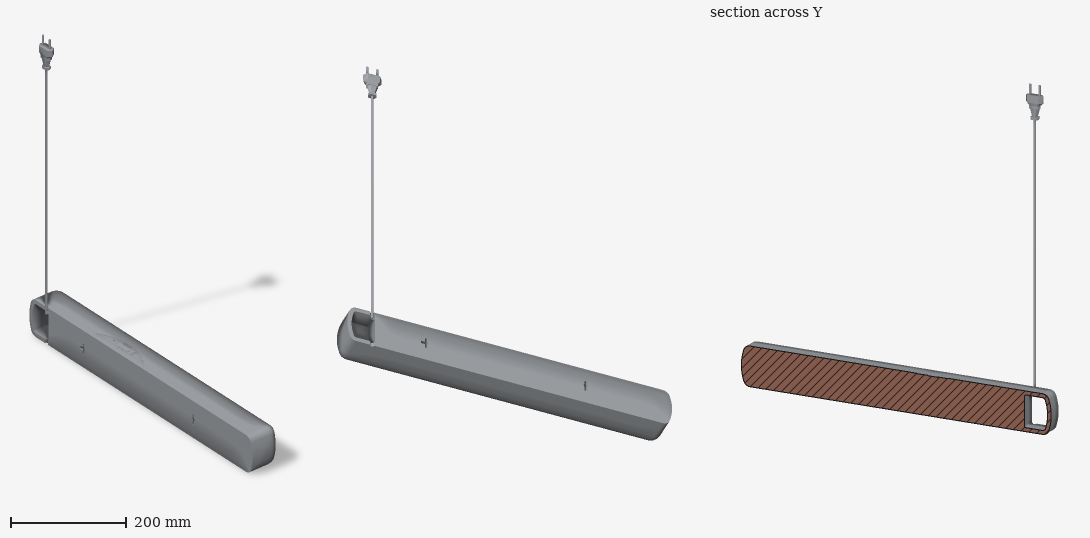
import cadquery as cq
import math

length = 609.0
height = 75.0
base_depth = 40.5
lid_depth = 21.0
depth = base_depth + lid_depth
end_radius = 87.0
corner_radius = 14.0
lid_draft_angle = 4.0
lid_end_round = 18.0
mid_z = height / 2

wall = 8.0
pocket_right_x = -252.0
pocket_depth = 30.5
pocket_right_round = 2.5

cable_x = -258.0
cable_diameter = 4.0
cable_groove_diameter = 7.5
cable_end_z = 60.5
cable_entry_diameter = 5.5
entry_y = 3.0
entry_embed = 1.0
plug_top_z = 603.5
neck_top_z = 580.5
collar_top_z = 565.0
collar_bottom_z = 560.0
pin_tip_z = 623.0
pin_diameter = 4.0
pin_spacing = 19.0
head_bottom = (591.0, 17.15, 11.0, 7.5)
head_top = (plug_top_z,) + head_bottom[1:]
grip_top = (586.0, 11.0, 8.0, 6.0)
grip_bottom = (neck_top_z,) + grip_top[1:]
neck_top = (neck_top_z, 10.0, 6.0, 5.5)
neck_bottom = (collar_top_z, 5.5, 2.5, 4.5)
collar_top = (collar_top_z, 8.0, 5.5, 5.5)
collar_bottom = (collar_bottom_z,) + collar_top[1:]

left_hole_x = -157.0
hole_spacing = 299.0
hole_diameter = 7.5
hole_recess = 2.0
slot_width = 3.6
slot_length = 21.0
slot_depth = 6.0
side_slot_reach = 9.5
side_slot_width = 5.5

panel_x = -71.0
panel_base_y = 9.5
panel_width = 137.0
panel_height = 22.5
panel_recess = 0.5
button_y = 19.5
button_length = 32.0
button_width = 9.5
window_y = 27.5
window_length = 20.0
window_width = 5.5
mark_offset = 27.5
mark_size = 7.0
square_height = 4.5
mark_depth = 0.5


def mounting_plane(x=0, y=0):
    """XZ work plane at depth y, centred on the bar; negative extrusions go into the bar."""
    return cq.Workplane("XZ", origin=(x, y, mid_z))


def top_plane(x, y):
    """Work plane on the top face; negative extrusions go into the bar."""
    return cq.Workplane("XY", origin=(x, y, height))


def cable_plane(z):
    """Level work plane at height z, centred on the cable."""
    return cq.Workplane("XY", origin=(cable_x, 0, z))


def bar_outline(y, inset=0):
    """Closed outline with arched ends and sharp corners at depth y, moved inward by inset."""
    half_length = length / 2 - inset
    half_height = height / 2 - inset
    radius = end_radius - inset
    shoulder = half_length - radius + math.sqrt(radius**2 - half_height**2)
    return (
        mounting_plane(0, y)
        .moveTo(-shoulder, half_height)
        .lineTo(shoulder, half_height)
        .threePointArc((half_length, 0), (shoulder, -half_height))
        .lineTo(-shoulder, -half_height)
        .threePointArc((-half_length, 0), (-shoulder, half_height))
        .close()
    )


def make_housing():
    """Straight base topped by a drafted lid; the corner round runs on along the lid's long edges."""
    base = bar_outline(0).extrude(-base_depth).edges("|Y").fillet(corner_radius)
    lid = bar_outline(base_depth).extrude(-lid_depth, taper=lid_draft_angle)
    lid = lid.faces(">Y").edges("%CIRCLE").fillet(lid_end_round)
    lid = lid.faces(">Y").edges("|X").fillet(corner_radius)
    return base.union(lid)


def make_pocket():
    """Recess that follows the rounded bar end and stops at a flat wall on its +X side."""
    pocket = bar_outline(0, wall).extrude(-pocket_depth).edges("|Y").fillet(corner_radius - wall)
    keep_width = length / 2 + pocket_right_x
    keep = cq.Workplane("XY").box(keep_width, depth, height, centered=(False, False, False))
    pocket = pocket.intersect(keep.translate((-length / 2, 0, 0)))
    return pocket.faces(">X").edges("|Y").fillet(pocket_right_round)


def make_cable_groove():
    """Half-round channel across the mounting face, opening the pocket rim above and below."""
    return cable_plane(0).circle(cable_groove_diameter / 2).extrude(height)


def make_mounting_hole(x, has_side_slot):
    """Shallow round recess with a deeper upright slot, and a slot toward -X when asked for."""
    hole = mounting_plane(x).circle(hole_diameter / 2).extrude(-hole_recess)
    hole = hole.union(mounting_plane(x).rect(slot_width, slot_length).extrude(-slot_depth))
    if has_side_slot:
        side_slot = mounting_plane(x - side_slot_reach / 2).rect(side_slot_reach, side_slot_width)
        hole = hole.union(side_slot.extrude(-slot_depth))
    return hole


def make_panel_recess():
    """Shallow recess in the top face, bounded by a chord and an arc."""
    half_width = panel_width / 2
    outline = (
        top_plane(panel_x, panel_base_y)
        .moveTo(-half_width, 0)
        .threePointArc((0, panel_height), (half_width, 0))
        .close()
    )
    return outline.extrude(-panel_recess)


def make_panel_marks():
    """Shallow window, triangle and square pair sunk into the panel floor."""
    cut_depth = panel_recess + mark_depth
    window = top_plane(panel_x, window_y).rect(window_length, window_width).extrude(-cut_depth)
    half_mark = mark_size / 2
    triangle = (
        top_plane(panel_x - mark_offset, button_y)
        .polyline([(-half_mark, half_mark), (half_mark, half_mark), (0, -half_mark)])
        .close()
        .extrude(-cut_depth)
    )
    squares = (
        top_plane(panel_x + mark_offset, button_y)
        .rarray(6, mark_size, 1, 2)
        .rect(mark_size, square_height)
        .extrude(-cut_depth)
    )
    return window.union(triangle).union(squares)


def make_button():
    """Push button left flush with the top face."""
    button = top_plane(panel_x, button_y).slot2D(button_length, button_width)
    return button.extrude(-panel_recess)


def plug_section(z, half_width, half_flat, half_thickness):
    """Hexagonal wire around the cable axis with its sharp sides toward -X and +X."""
    corners = [
        (half_width, 0),
        (half_flat, half_thickness),
        (-half_flat, half_thickness),
        (-half_width, 0),
        (-half_flat, -half_thickness),
        (half_flat, -half_thickness),
    ]
    return cable_plane(z).polyline(corners).close().val()


def plug_block(upper, lower):
    """Straight-sided body between two hexagonal sections."""
    return cq.Workplane(cq.Solid.makeLoft([plug_section(*upper), plug_section(*lower)], True))


def make_plug():
    """Hexagonal head, tapered grip, neck and end collar with two round pins."""
    plug = plug_block(head_top, head_bottom)
    for upper, lower in (
        (head_bottom, grip_top),
        (grip_top, grip_bottom),
        (neck_top, neck_bottom),
        (collar_top, collar_bottom),
    ):
        plug = plug.union(plug_block(upper, lower))
    pins = (
        cable_plane(plug_top_z)
        .rarray(pin_spacing, 6, 2, 1)
        .circle(pin_diameter / 2)
        .extrude(pin_tip_z - plug_top_z)
    )
    return plug.union(pins)


def make_cable():
    """Straight cable with a short entry stub that carries it into the pocket side wall."""
    cable_length = collar_bottom_z - cable_end_z
    cable = cable_plane(cable_end_z).circle(cable_diameter / 2).extrude(cable_length)
    entry_length = pocket_right_x - cable_x + entry_embed
    entry_z = cable_end_z + cable_entry_diameter / 2
    entry = cq.Workplane("YZ", origin=(cable_x, entry_y, entry_z)).circle(cable_entry_diameter / 2)
    return cable.union(entry.extrude(entry_length))


result = (
    make_housing()
    .cut(make_pocket())
    .cut(make_cable_groove())
    .cut(make_mounting_hole(left_hole_x, True))
    .cut(make_mounting_hole(left_hole_x + hole_spacing, False))
    .cut(make_panel_recess())
    .cut(make_panel_marks())
    .union(make_button())
    .union(make_cable())
    .union(make_plug())
)